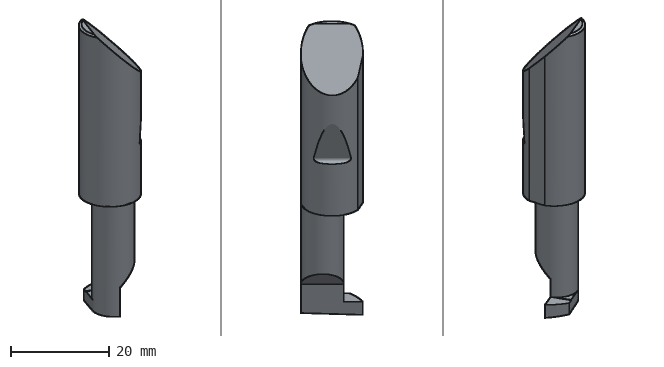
import cadquery as cq
import math

TOTAL_LENGTH = 63.5
SHANK_RADIUS = 6.35
SHANK_BOTTOM = 25.4
RIM_WIDTH = 0.6
RIM_HEIGHT = 0.25

BEVEL_TOP_Y = -4.6
FLAT_END_Y = 3.6
NOTCH_FLOOR_Y = 5.1
NOTCH_BOTTOM = 37.1
NOTCH_TOP = 46.1
NOTCH_ROUND = 0.75

NECK_RADIUS = 4.4
NECK_X = SHANK_RADIUS - NECK_RADIUS
RELIEF_Z = 7.0

TIP_X = -6.3
HEAD_TOP = 3.0
HEAD_FRONT_X = -3.7
FLANK_BULGE = 0.25
TOP_RELIEF_ANGLE = 2.0
END_RELIEF_ANGLE = 2.2
SIDE_RELIEF_ANGLE = 2.0

CUT_MARGIN = 3.2


def side_prism(points):
    """Extrude a (Y, Z) polygon across the full width of the part."""
    width = 2 * (SHANK_RADIUS + CUT_MARGIN)
    return cq.Workplane("YZ").polyline(points).close().extrude(width / 2, both=True)


def make_shank():
    shank = (
        cq.Workplane("XY").workplane(offset=SHANK_BOTTOM)
        .circle(SHANK_RADIUS).extrude(TOTAL_LENGTH - SHANK_BOTTOM)
    )
    top_edge = shank.faces(">Z").edges()
    return top_edge.chamfer(RIM_HEIGHT, RIM_WIDTH)


def end_bevel():
    outer_y = SHANK_RADIUS + CUT_MARGIN
    rise = CUT_MARGIN
    return side_prism([
        (BEVEL_TOP_Y - rise, TOTAL_LENGTH + rise),
        (outer_y, TOTAL_LENGTH - (outer_y - BEVEL_TOP_Y)),
        (outer_y, TOTAL_LENGTH + rise),
    ])


def side_flat():
    """Remove the circular segment outside the chord that starts at (-radius, 0)."""
    chord_end_x = -math.sqrt(SHANK_RADIUS**2 - FLAT_END_Y**2)
    outer_x = -SHANK_RADIUS - CUT_MARGIN
    return (
        cq.Workplane("XY").workplane(offset=SHANK_BOTTOM)
        .moveTo(-SHANK_RADIUS, 0).lineTo(chord_end_x, FLAT_END_Y)
        .lineTo(outer_x, FLAT_END_Y).lineTo(outer_x, 0).close()
        .extrude(TOTAL_LENGTH - SHANK_BOTTOM)
    )


def clamping_notch():
    """Sloped notch in the +Y side, with a rounded inner corner."""
    depth = SHANK_RADIUS - NOTCH_FLOOR_Y
    slope = depth / (NOTCH_TOP - NOTCH_BOTTOM - NOTCH_ROUND)
    outer_y = SHANK_RADIUS + CUT_MARGIN
    notch_width = 2 * (SHANK_RADIUS + CUT_MARGIN)
    corner_sag = NOTCH_ROUND * (1 - math.sqrt(0.5))
    return (
        cq.Workplane("YZ")
        .moveTo(outer_y, NOTCH_BOTTOM)
        .lineTo(NOTCH_FLOOR_Y + NOTCH_ROUND, NOTCH_BOTTOM)
        .threePointArc(
            (NOTCH_FLOOR_Y + corner_sag, NOTCH_BOTTOM + corner_sag),
            (NOTCH_FLOOR_Y, NOTCH_BOTTOM + NOTCH_ROUND),
        )
        .lineTo(outer_y, NOTCH_TOP + CUT_MARGIN / slope)
        .close().extrude(notch_width / 2, both=True)
    )


def make_neck():
    neck = cq.Workplane("XY").center(NECK_X, 0).circle(NECK_RADIUS).extrude(SHANK_BOTTOM)
    outer_y = NECK_RADIUS + CUT_MARGIN
    relief = side_prism([
        (0, -CUT_MARGIN),
        (outer_y, -CUT_MARGIN),
        (outer_y, RELIEF_Z + outer_y),
        (0, RELIEF_Z),
    ])
    return neck.cut(relief)


def make_head():
    """Hook reaching from the neck out to the cutting tip, with a curved flank."""
    block = (
        cq.Workplane("XY").moveTo(NECK_X, 0).lineTo(TIP_X, 0)
        .sagittaArc((HEAD_FRONT_X, -NECK_RADIUS), -FLANK_BULGE)
        .lineTo(NECK_X, -NECK_RADIUS).close().extrude(HEAD_TOP)
    )
    top_drop = NECK_RADIUS * math.tan(math.radians(TOP_RELIEF_ANGLE))
    overhang_x = NECK_X - NECK_RADIUS
    top_relief = (
        cq.Workplane("YZ").workplane(offset=overhang_x)
        .moveTo(0, HEAD_TOP).lineTo(-NECK_RADIUS, HEAD_TOP - top_drop)
        .lineTo(-NECK_RADIUS, HEAD_TOP).close()
        .extrude(TIP_X - overhang_x)
    )
    return block.cut(top_relief)


def end_relief():
    """Material below an end face that rises away from the tip at (TIP_X, 0, 0)."""
    size = 4 * SHANK_RADIUS
    normal = (
        -math.tan(math.radians(END_RELIEF_ANGLE)),
        math.tan(math.radians(SIDE_RELIEF_ANGLE)),
        1,
    )
    end_plane = cq.Plane(origin=(TIP_X, 0, 0), xDir=(0, 1, 0), normal=normal)
    return cq.Workplane(end_plane).rect(2 * size, 2 * size).extrude(-CUT_MARGIN)


shank = make_shank().cut(end_bevel()).cut(side_flat()).cut(clamping_notch())
tool_end = make_neck().union(make_head()).cut(end_relief())
result = shank.union(tool_end)